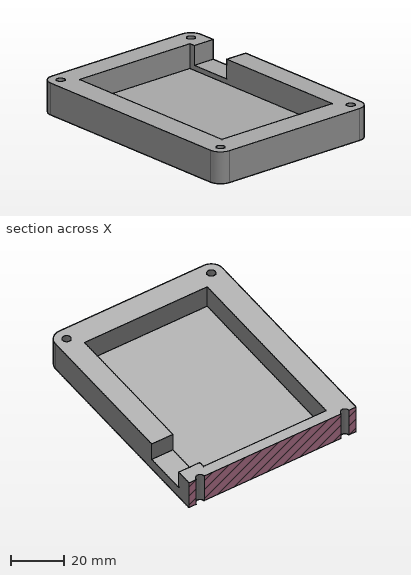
import cadquery as cq

length = 101.4
width = 75.4
height = 13.0
corner_radius = 5.1

margin_left = 9.5
margin_right = 10.5
margin_front = 10.5
margin_back = 9.5
pocket_depth = 10.0

notch_start = 12.1
notch_width = 18.5
notch_depth = 8.0

hole_diameter = 3.4

left = -length / 2
front = -width / 2
back = width / 2


def box_from_top(x, y, size_x, size_y, depth):
    """Cutting box with its left front corner at (x, y), sunk from the top face."""
    box = cq.Workplane("XY").box(size_x, size_y, depth, centered=False)
    return box.translate((x, y, height - depth))


block = (
    cq.Workplane("XY")
    .box(length, width, height, centered=(True, True, False))
    .edges("|Z")
    .fillet(corner_radius)
)

pocket = box_from_top(
    left + margin_left,
    front + margin_front,
    length - margin_left - margin_right,
    width - margin_front - margin_back,
    pocket_depth,
)

notch = box_from_top(
    left + notch_start, back - margin_back, notch_width, margin_back, notch_depth
)

screw_holes = (
    cq.Workplane("XY")
    .rect(length - 2 * corner_radius, width - 2 * corner_radius, forConstruction=True)
    .vertices()
    .circle(hole_diameter / 2)
    .extrude(height)
)

result = block.cut(pocket).cut(notch).cut(screw_holes)